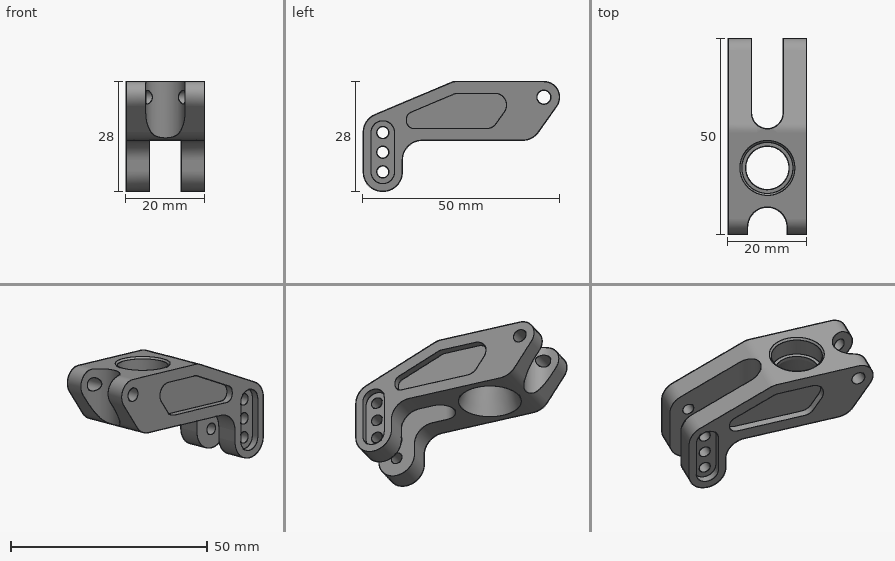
import cadquery as cq
import math

width = 20.0
length = 50.0
top_z = 28.0
underside_z = 13.0
bend_y = 27.0
bend_radius = 5.0
fade_steps = 5

nose_radius = 4.0
nose_y = nose_radius
nose_z = top_z - nose_radius
pivot_diameter = 3.5
chin_radius = 5.0
chin_y = 9.5
chin_z = underside_z + chin_radius

leg_radius = 5.0
leg_y = length - leg_radius
leg_low_z = leg_radius
leg_high_z = 15.0
leg_inner_y = leg_y - leg_radius
leg_hole_diameter = 3.0
leg_hole_count = 3
leg_recess_radius = 3.0
leg_recess_depth = 2.0

pocket_wall = 3.0
pocket_depth = 2.0
pocket_rear_y = 39.0
pocket_corner_radius = 2.0
pocket_front_radius = 3.0
pocket_nose_radius = 3.0
pocket_nose_y = 16.5

fork_gap = 8.0
notch_radius = 5.0
notch_y = 2.0
bore_y = 17.0
bore_diameter = 11.0
seat_diameter = 13.0
seat_depth = 5.0
seat_chamfer = 0.5
bore_land = 1.0
flare_diameter = 16.0

bend_to_leg = math.hypot(leg_y - bend_y, top_z - leg_high_z)
slope_angle = math.atan2(top_z - leg_high_z, leg_y - bend_y) - math.asin(leg_radius / bend_to_leg)

nose_to_chin = math.hypot(chin_y - nose_y, nose_z - chin_z)
front_angle = math.atan2(nose_z - chin_z, chin_y - nose_y) + math.asin(
    (chin_radius - nose_radius) / nose_to_chin
)
front_normal = math.pi + math.pi / 2 - front_angle
slope_normal = math.pi / 2 - slope_angle


def on_circle(center_y, center_z, radius, angle):
    """Point (y, z) on a circle, with the angle measured from +Y towards +Z."""
    return (center_y + radius * math.cos(angle), center_z + radius * math.sin(angle))


def make_body():
    """Side profile, extruded across the full width."""
    return (
        cq.Workplane("YZ", origin=(-width / 2, 0, 0))
        .moveTo(nose_y, top_z)
        .threePointArc(
            on_circle(nose_y, nose_z, nose_radius, math.pi),
            on_circle(nose_y, nose_z, nose_radius, front_normal),
        )
        .lineTo(*on_circle(chin_y, chin_z, chin_radius, front_normal))
        .threePointArc(
            on_circle(chin_y, chin_z, chin_radius, (front_normal + 1.5 * math.pi) / 2),
            (chin_y, underside_z),
        )
        .lineTo(leg_inner_y - leg_radius, underside_z)
        .threePointArc(
            on_circle(leg_inner_y - leg_radius, underside_z - leg_radius, leg_radius, math.pi / 4),
            (leg_inner_y, underside_z - leg_radius),
        )
        .lineTo(leg_inner_y, leg_low_z)
        .threePointArc((leg_y, 0), (length, leg_low_z))
        .lineTo(length, leg_high_z)
        .threePointArc(
            on_circle(leg_y, leg_high_z, leg_radius, slope_normal / 2),
            on_circle(leg_y, leg_high_z, leg_radius, slope_normal),
        )
        .lineTo(bend_y, top_z)
        .close()
        .extrude(width)
    )


def cross_hole(y, z, diameter):
    """Hole through both sides of the part."""
    return cq.Workplane("YZ", origin=(-width / 2, y, z)).circle(diameter / 2).extrude(width)


def make_pocket():
    """Pocket in the -X side, with its rim parallel to the outer profile."""
    floor_z = underside_z + pocket_wall
    roof_z = top_z - pocket_wall
    roof_bend_y = bend_y - pocket_wall * math.tan(slope_angle / 2)
    rear_z = roof_z - (pocket_rear_y - roof_bend_y) * math.tan(slope_angle)
    front_y = pocket_nose_y - pocket_nose_radius / math.sin(front_angle)
    nose_center_z = roof_z - pocket_nose_radius
    front_low_y = front_y + (nose_center_z - floor_z) / math.tan(front_angle)
    front_high_y = front_y - (roof_z - nose_center_z) / math.tan(front_angle)
    pocket = (
        cq.Workplane("YZ", origin=(-width / 2, 0, 0))
        .polyline([
            (front_high_y, roof_z),
            (front_low_y, floor_z),
            (pocket_rear_y, floor_z),
            (pocket_rear_y, rear_z),
            (roof_bend_y, roof_z),
        ])
        .close()
        .extrude(pocket_depth)
    )
    pocket = pocket.edges("|X").edges("<Y").fillet(pocket_nose_radius)
    front_corner = cq.selectors.BoxSelector(
        (-width, front_low_y - 0.5, floor_z - 0.5), (width, front_low_y + 0.5, floor_z + 0.5)
    )
    rear_corners = cq.selectors.BoxSelector(
        (-width, roof_bend_y - 0.5, floor_z - 0.5), (width, pocket_rear_y + 0.5, roof_z + 0.5)
    )
    pocket = pocket.edges("|X").edges(front_corner).fillet(pocket_front_radius)
    return pocket.edges("|X").edges(rear_corners).fillet(pocket_corner_radius)


def make_leg_recess():
    """Upright rounded recess around the leg holes on the -X side."""
    middle_z = (leg_low_z + leg_high_z) / 2
    recess_length = leg_high_z - leg_low_z + 2 * leg_recess_radius
    return (
        cq.Workplane("YZ", origin=(-width / 2, leg_y, middle_z))
        .slot2D(recess_length, 2 * leg_recess_radius, 90)
        .extrude(leg_recess_depth)
    )


def make_fork_gap():
    """Gap between the legs, with a round inner end touching the top bend."""
    gap_radius = fork_gap / 2
    center_y = bend_y + gap_radius
    round_end = cq.Workplane("XY").center(0, center_y).circle(gap_radius).extrude(top_z)
    channel = cq.Workplane("XY").box(fork_gap, length - center_y, top_z, centered=(True, False, False))
    return round_end.union(channel.translate((0, center_y, 0)))


def bend_trim_section(x, tangent_length):
    """Sliver between the sharp bend and its rounding in the plane at x."""
    radius = tangent_length / math.tan(slope_angle / 2)
    arc_center = (bend_y - tangent_length, top_z - radius)
    slope_end = on_circle(*arc_center, radius, slope_normal)
    arc_middle = on_circle(*arc_center, radius, (slope_normal + math.pi / 2) / 2)
    return (
        cq.Workplane("YZ", origin=(x, 0, 0))
        .moveTo(bend_y - tangent_length, top_z)
        .lineTo(bend_y, top_z)
        .lineTo(*slope_end)
        .threePointArc(arc_middle, (bend_y - tangent_length, top_z))
        .close()
    )


def make_bend_rounding():
    """Material removed to round the bend; it fades out where the fork gap touches the bend."""
    gap_radius = fork_gap / 2
    full_tangent = bend_radius * math.tan(slope_angle / 2)
    fade_start_x = math.sqrt(gap_radius**2 - (gap_radius - full_tangent * math.cos(slope_angle)) ** 2)
    outer_part = bend_trim_section(fade_start_x, full_tangent).extrude(width / 2 - fade_start_x)
    sections = []
    for step in range(fade_steps):
        x = fade_start_x * (1 - step / fade_steps)
        gap_distance = gap_radius - math.sqrt(gap_radius**2 - x**2)
        section = bend_trim_section(x, gap_distance / math.cos(slope_angle))
        sections.append(section.val())
    faded_part = cq.Workplane(cq.Solid.makeLoft(sections))
    one_side = outer_part.union(faded_part)
    return one_side.union(one_side.mirror("YZ"))


def make_front_notch():
    """Round-ended vertical notch in the nose."""
    round_end = cq.Workplane("XY").center(0, notch_y).circle(notch_radius).extrude(top_z)
    mouth = cq.Workplane("XY").box(2 * notch_radius, notch_y, top_z, centered=(True, False, False))
    return round_end.union(mouth)


def make_bore():
    """Vertical through bore with a chamfered seat at the top and a conical flare below."""
    bore_radius = bore_diameter / 2
    seat_radius = seat_diameter / 2
    seat_z = top_z - seat_depth
    flare_top_z = seat_z - bore_land
    flare_radius = flare_diameter / 2
    return (
        cq.Workplane("XZ", origin=(0, bore_y, 0))
        .polyline([
            (0, underside_z),
            (flare_radius, underside_z),
            (bore_radius, flare_top_z),
            (bore_radius, seat_z),
            (seat_radius, seat_z),
            (seat_radius, top_z - seat_chamfer),
            (seat_radius + seat_chamfer, top_z),
            (0, top_z),
        ])
        .close()
        .revolve(360, (0, 0, 0), (0, 1, 0))
    )


result = make_body().cut(make_bend_rounding()).cut(make_fork_gap())
result = result.cut(make_front_notch()).cut(make_bore())
result = result.cut(cross_hole(nose_y, nose_z, pivot_diameter))

leg_hole_pitch = (leg_high_z - leg_low_z) / (leg_hole_count - 1)
for index in range(leg_hole_count):
    result = result.cut(cross_hole(leg_y, leg_low_z + index * leg_hole_pitch, leg_hole_diameter))

for recess in (make_pocket(), make_leg_recess()):
    result = result.cut(recess).cut(recess.mirror("YZ"))